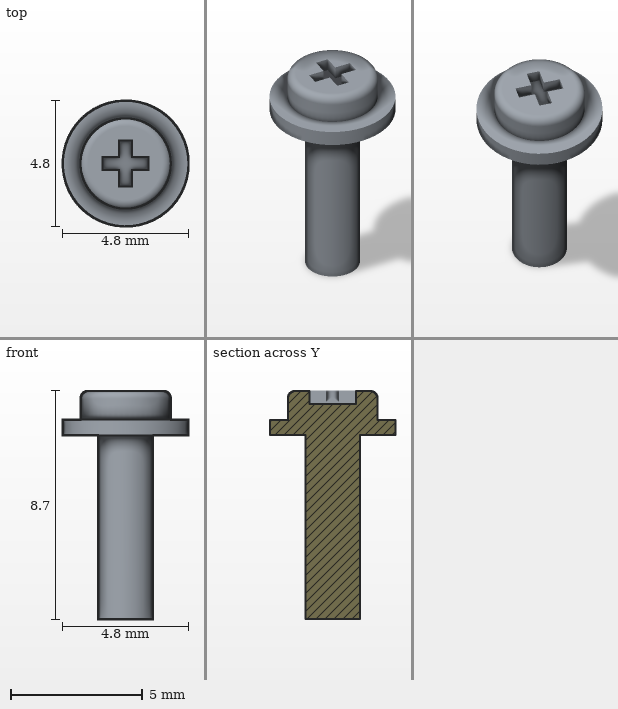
import cadquery as cq

shank_diameter = 2.1
shank_length = 7.0

washer_diameter = 4.8
washer_thickness = 0.6

head_diameter = 3.44
head_height = 1.1
head_edge_radius = 0.3

recess_span = 1.75
recess_slot_width = 0.5
recess_depth = 0.5

washer_bottom = shank_length
head_bottom = washer_bottom + washer_thickness
head_top = head_bottom + head_height


def disc(diameter, height, base):
    """Cylinder on the screw axis, standing on the level `base`."""
    return cq.Workplane("XY").workplane(offset=base).circle(diameter / 2).extrude(height)


def make_head():
    """Cylindrical head with a rounded top edge."""
    head = disc(head_diameter, head_height, head_bottom)
    return head.faces(">Z").edges().fillet(head_edge_radius)


def make_cross_recess():
    """Two crossing slots sunk into the top of the head."""
    top = cq.Workplane("XY").workplane(offset=head_top)
    slot_along_x = top.rect(recess_span, recess_slot_width).extrude(-recess_depth)
    slot_along_y = top.rect(recess_slot_width, recess_span).extrude(-recess_depth)
    return slot_along_x.union(slot_along_y)


shank = disc(shank_diameter, shank_length, 0)
washer = disc(washer_diameter, washer_thickness, washer_bottom)

result = shank.union(washer).union(make_head()).cut(make_cross_recess())